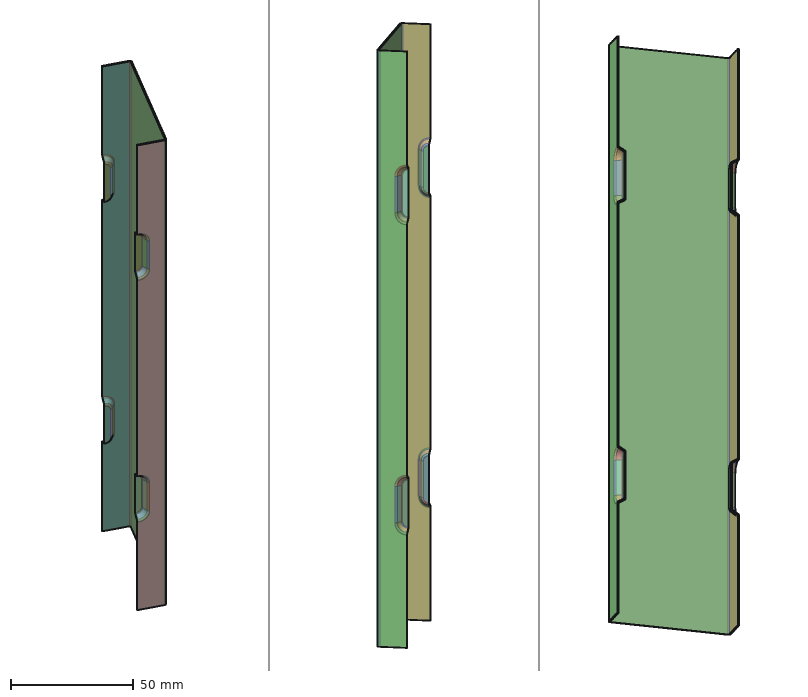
import cadquery as cq
import math

length = 250.0
width = 52.2
depth = 12.5
sheet = 0.6
tight_bend = 0.5
wide_bend = tight_bend + sheet

recess_spacing = 130.0
recess_length = 23.8
recess_reach = 4.5
recess_depth = 3.0
recess_corner = 4.2
wall_slope = 30.0

patch_margin = 2.5
patch_length = recess_length + 2 * patch_margin
patch_reach = recess_reach + patch_margin
selection_gap = 0.05


def channel():
    """Plain channel with bent corners, running the full length."""
    outer = cq.Workplane("XY").box(width, depth, length)
    outer = outer.edges("|Z and >Y").fillet(wide_bend)
    inside = cq.Workplane("XY").box(width - 2 * sheet, depth, length)
    inside = inside.edges("|Z and >Y").fillet(tight_bend)
    return outer.cut(inside.translate((0, -sheet, 0)))


def pressed_form(start, grow, tip_bend):
    """Tapered plug with rounded corners along +X, mirrored about the free edge at Y = 0."""
    return (
        cq.Workplane("YZ", origin=(start, 0, 0))
        .sketch()
        .rect(2 * (recess_reach + grow), recess_length + 2 * grow)
        .vertices()
        .fillet(recess_corner + grow)
        .finalize()
        .extrude(recess_depth, taper=wall_slope)
        .faces(">X")
        .edges()
        .fillet(tip_bend)
    )


def root_edges(x):
    """Selector for the loop where the recess wall meets the flange face at this X."""
    gap = selection_gap
    reach = patch_reach - gap
    half_length = patch_length / 2 - gap
    return cq.selectors.BoxSelector((x - gap, -reach, -half_length), (x + gap, reach, half_length))


def recess_patch():
    """Flange piece with one recess: outer face at X = 0, free edge at Y = 0, web toward +Y."""
    slope = math.radians(wall_slope)
    wall_growth = sheet * (1 / math.cos(slope) - math.tan(slope))
    plate = cq.Workplane("XY").box(sheet, 2 * patch_reach, patch_length)
    plate = plate.translate((sheet / 2, 0, 0))
    patch = plate.union(pressed_form(sheet, wall_growth, wide_bend))
    patch = patch.edges(root_edges(sheet)).fillet(tight_bend)
    patch = patch.cut(pressed_form(0, 0, tight_bend))
    patch = patch.edges(root_edges(0)).fillet(wide_bend)
    keep = cq.Workplane("XY").box(width, patch_reach, patch_length)
    return patch.intersect(keep.translate((0, patch_reach / 2, 0)))


def add_recesses(body):
    """Swap a plain piece of each flange for a recessed one at every recess position."""
    left_patch = recess_patch().translate((-width / 2, -depth / 2, 0))
    left_piece = cq.Workplane("XY").box(sheet, patch_reach, patch_length)
    left_piece = left_piece.translate(((sheet - width) / 2, (patch_reach - depth) / 2, 0))
    right_patch = left_patch.mirror("YZ")
    right_piece = left_piece.mirror("YZ")
    for z in (-recess_spacing / 2, recess_spacing / 2):
        for piece, patch in ((left_piece, left_patch), (right_piece, right_patch)):
            body = body.cut(piece.translate((0, 0, z)))
            body = body.union(patch.translate((0, 0, z)))
    return body.clean()


result = add_recesses(channel())